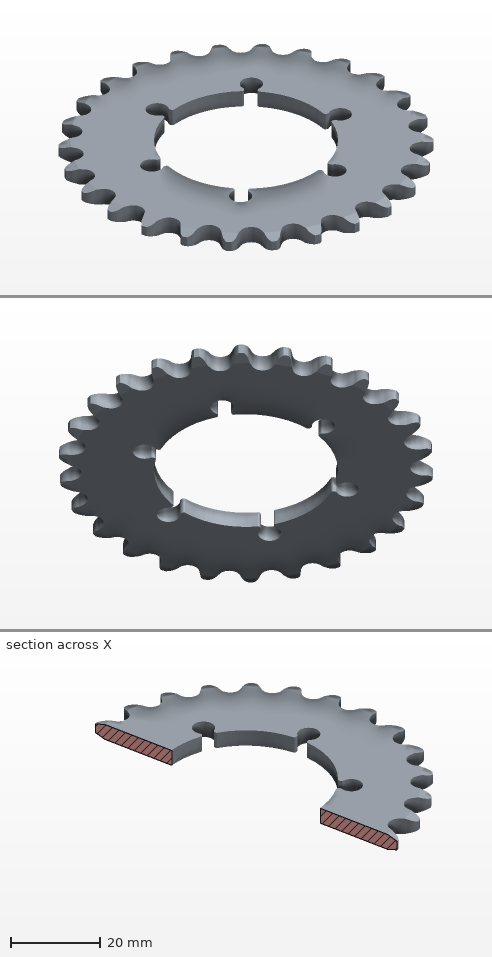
import cadquery as cq
import math

tooth_count = 26
tip_radius = 42.1
tip_half_width = 0.6
crown_mid_radius = 41.4
crown_mid_half_width = 1.2
crown_radius = 40.5
crown_half_width = 1.6
flank_radius = 39.8
flank_half_width = 1.8
shoulder_radius = 39.4
root_radius = 73.8 / 2
seat_radius = 2.6
seat_half_angle = 61

plate_thickness = 4.0
tip_thickness = 2.35

bore_radius = 41.3 / 2
slot_count = 6
slot_hole_radius = 2.6
slot_hole_center = 47.55 / 2
neck_width = 3.1
neck_fillet = 0.5

tooth_pitch = 360 / tooth_count


def turned(radial, sideways, angle):
    """Point at a radial and a sideways distance, turned about the axis by an angle in degrees."""
    c = math.cos(math.radians(angle))
    s = math.sin(math.radians(angle))
    return (radial * c - sideways * s, radial * s + sideways * c)


def plate(sketch):
    """Solid of full plate thickness, centred on the XY plane."""
    return sketch.extrude(plate_thickness / 2, both=True)


def toothed_disc():
    seat_center = root_radius + seat_radius
    seat_end_radius = seat_center - seat_radius * math.cos(math.radians(seat_half_angle))
    seat_end = seat_radius * math.sin(math.radians(seat_half_angle))

    outline = cq.Workplane("XY").moveTo(*turned(seat_end_radius, -seat_end, 0))
    for i in range(tooth_count):
        gap = i * tooth_pitch
        tooth = gap + tooth_pitch / 2
        next_gap = gap + tooth_pitch
        outline = (
            outline
            .threePointArc(turned(root_radius, 0, gap), turned(seat_end_radius, seat_end, gap))
            .lineTo(*turned(flank_radius, -flank_half_width, tooth))
            .lineTo(*turned(crown_radius, -crown_half_width, tooth))
            .threePointArc(
                turned(crown_mid_radius, -crown_mid_half_width, tooth),
                turned(tip_radius, -tip_half_width, tooth),
            )
            .lineTo(*turned(tip_radius, tip_half_width, tooth))
            .threePointArc(
                turned(crown_mid_radius, crown_mid_half_width, tooth),
                turned(crown_radius, crown_half_width, tooth),
            )
            .lineTo(*turned(flank_radius, flank_half_width, tooth))
            .lineTo(*turned(seat_end_radius, -seat_end, next_gap))
        )
    return plate(outline.close())


def tapered_envelope():
    """Many-sided blank with one flat per tooth, sloping inward toward both faces."""
    corner_ratio = 1 / math.cos(math.pi / tooth_count)
    tip_polygon = 2 * tip_radius * corner_ratio
    shoulder_polygon = 2 * shoulder_radius * corner_ratio
    slope_height = (plate_thickness - tip_thickness) / 2

    band = cq.Workplane("XY").polygon(tooth_count, tip_polygon).extrude(tip_thickness / 2, both=True)
    upper_slope = (
        cq.Workplane("XY", origin=(0, 0, tip_thickness / 2))
        .polygon(tooth_count, tip_polygon)
        .workplane(offset=slope_height)
        .polygon(tooth_count, shoulder_polygon)
        .loft(ruled=True)
    )
    return band.union(upper_slope).union(upper_slope.mirror("XY"))


def keyhole_bore():
    """Bore cutter with round slot holes joined to it by narrow rounded necks."""
    bore = plate(cq.Workplane("XY").circle(bore_radius))
    hole = plate(cq.Workplane("XY").center(slot_hole_center, 0).circle(slot_hole_radius))
    neck = plate(cq.Workplane("XY").center(slot_hole_center / 2, 0).rect(slot_hole_center, neck_width))
    keyhole = hole.union(neck)
    for i in range(slot_count):
        bore = bore.union(keyhole.rotate((0, 0, 0), (0, 0, 1), i * 360 / slot_count))
    return bore.edges("|Z").fillet(neck_fillet)


result = toothed_disc().intersect(tapered_envelope()).cut(keyhole_bore())